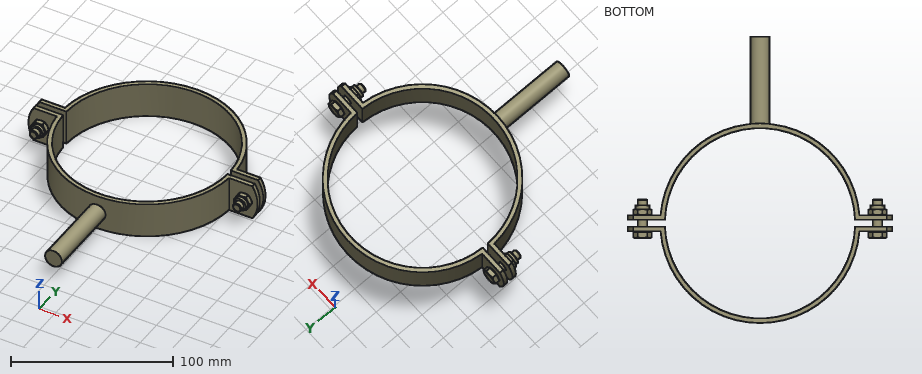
import cadquery as cq
import math

total_length = 176.5
total_width = 163.0
band_height = 25.0
ring_diameter = 123.0
band_thickness = 3.0
clamp_gap = 4.0
lug_end_radius = 23.5
rod_diameter = 12.0

bolt_diameter = 6.0
bolt_hole_diameter = 6.5
bolt_tip_diameter = 5.0
bolt_tip_length = 3.7
bolt_spacing = 144.7
hex_across_flats = 10.0
hex_crown_diameter = 9.7
crown_angle = 30.0
head_height = 4.0
washer_face_diameter = 8.6
washer_face_height = 0.4
nut_hex_height = 3.7
nut_collar_diameter = 8.8
nut_height = 6.0

ring_radius = ring_diameter / 2
bore_radius = ring_radius - band_thickness
lug_inner_y = clamp_gap / 2
lug_outer_y = lug_inner_y + band_thickness
rod_length = total_length - ring_diameter
bolt_x = bolt_spacing / 2
hex_across_corners = hex_across_flats / math.cos(math.radians(30))
crown_slope = math.tan(math.radians(crown_angle))
bolt_tip_y = -(lug_outer_y + nut_height + bolt_tip_length)


def y_cylinder(diameter, start_y, end_y, x=0):
    """Cylinder along Y between two Y positions."""
    return (
        cq.Workplane("XZ", origin=(x, end_y, 0))
        .circle(diameter / 2)
        .extrude(end_y - start_y)
    )


def crown_cone(height):
    """Cone along Z that bevels the hexagon corners at its top face."""
    crown_radius = hex_crown_diameter / 2
    base_radius = crown_radius + height / crown_slope
    return cq.Workplane("XY").add(cq.Solid.makeCone(base_radius, crown_radius, height))


def crowned_hex(height):
    """Hexagon standing on Z = 0, corners on X, with its upper corners bevelled."""
    prism = cq.Workplane("XY").polygon(6, hex_across_corners).extrude(height)
    return prism.intersect(crown_cone(height))


def lug_strip():
    """Flat strip across the ring, with both outer ends rounded."""
    half_height = band_height / 2
    end_x = total_width / 2
    end_rise = lug_end_radius - math.sqrt(lug_end_radius**2 - half_height**2)
    corner_x = end_x - end_rise
    strip = (
        cq.Workplane("XZ", origin=(0, lug_inner_y, 0))
        .moveTo(-corner_x, -half_height)
        .lineTo(corner_x, -half_height)
        .threePointArc((end_x, 0), (corner_x, half_height))
        .lineTo(-corner_x, half_height)
        .threePointArc((-end_x, 0), (-corner_x, -half_height))
        .close()
        .extrude(-band_thickness)
    )
    return strip


def half_band():
    """Half ring with two flat lugs, on the +Y side."""
    half_height = band_height / 2
    disc = cq.Workplane("XY").circle(ring_radius).extrude(half_height, both=True)
    bore = cq.Workplane("XY").circle(bore_radius).extrude(half_height, both=True)
    upper_side = (
        cq.Workplane("XY", origin=(0, lug_inner_y + ring_radius / 2, 0))
        .box(ring_diameter, ring_radius, band_height)
    )
    half_disc = disc.intersect(upper_side)
    return half_disc.union(lug_strip()).cut(bore).cut(bolt_holes())


def bolt_holes():
    """Clearance holes through the lugs on both sides."""
    left = y_cylinder(bolt_hole_diameter, -lug_outer_y, lug_outer_y, -bolt_x)
    right = y_cylinder(bolt_hole_diameter, -lug_outer_y, lug_outer_y, bolt_x)
    return left.union(right)


def rod_band():
    """Half band on the -Y side with its mounting rod."""
    band = half_band().mirror("XZ")
    rod_end_y = -ring_radius - rod_length
    rod_root_y = -(ring_radius + bore_radius) / 2
    return band.union(y_cylinder(rod_diameter, rod_end_y, rod_root_y))


def bolt(x):
    """Hexagon bolt along Y, head on the +Y side, with a bevelled tip."""
    washer_face_y = lug_outer_y + washer_face_height
    tip_bevel = (bolt_diameter - bolt_tip_diameter) / 2
    head = (
        crowned_hex(head_height - washer_face_height)
        .rotate((0, 0, 0), (1, 0, 0), -90)
        .translate((x, washer_face_y, 0))
    )
    washer_face = y_cylinder(washer_face_diameter, lug_outer_y, washer_face_y, x)
    shank = y_cylinder(bolt_diameter, bolt_tip_y, washer_face_y, x)
    shank = shank.faces("<Y").chamfer(tip_bevel)
    return head.union(washer_face).union(shank)


def nut(x):
    """Lock nut along Y: hexagon bevelled at both ends, then a round collar."""
    seat_y = -lug_outer_y
    collar_end_y = seat_y - nut_height
    outer_crown = crowned_hex(nut_hex_height)
    seat_crown = outer_crown.mirror("XY").translate((0, 0, nut_hex_height))
    hexagon = (
        outer_crown.intersect(seat_crown)
        .rotate((0, 0, 0), (1, 0, 0), 90)
        .translate((x, seat_y, 0))
    )
    collar = y_cylinder(nut_collar_diameter, collar_end_y, seat_y, x)
    thread_hole = y_cylinder(bolt_diameter, collar_end_y, seat_y, x)
    return hexagon.union(collar).cut(thread_hole)


plain_half = half_band()
rod_half = rod_band()
bolts = []
nuts = []
for side_x in (-bolt_x, bolt_x):
    bolts.append(bolt(side_x).val())
    nuts.append(nut(side_x).val())

result = cq.Compound.makeCompound([plain_half.val(), rod_half.val(), *bolts, *nuts])